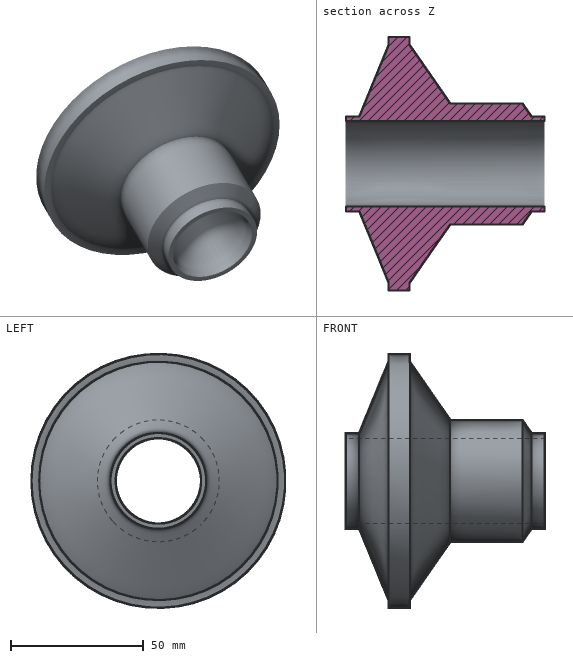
import cadquery as cq

rim_diameter = 95.5
cone_diameter = 89.6
body_diameter = 45.8
end_diameter = 36.0
bore_diameter = 32.0

front_collar_length = 5.2
front_cone_length = 11.0
rim_width = 8.0
rear_cone_length = 15.2
body_length = 27.1
body_taper_length = 3.4
rear_collar_length = 5.1

front_cone_start = front_collar_length
rim_start = front_cone_start + front_cone_length
rim_end = rim_start + rim_width
body_start = rim_end + rear_cone_length
body_end = body_start + body_length
rear_collar_start = body_end + body_taper_length
total_length = rear_collar_start + rear_collar_length

rim_radius = rim_diameter / 2
cone_radius = cone_diameter / 2
body_radius = body_diameter / 2
end_radius = end_diameter / 2
bore_radius = bore_diameter / 2

half_section = [
    (0, bore_radius),
    (0, end_radius),
    (front_cone_start, end_radius),
    (rim_start, cone_radius),
    (rim_start, rim_radius),
    (rim_end, rim_radius),
    (rim_end, cone_radius),
    (body_start, body_radius),
    (body_end, body_radius),
    (rear_collar_start, end_radius),
    (total_length, end_radius),
    (total_length, bore_radius),
]

result = cq.Workplane("XY").polyline(half_section).close().revolve(360, (0, 0, 0), (1, 0, 0))